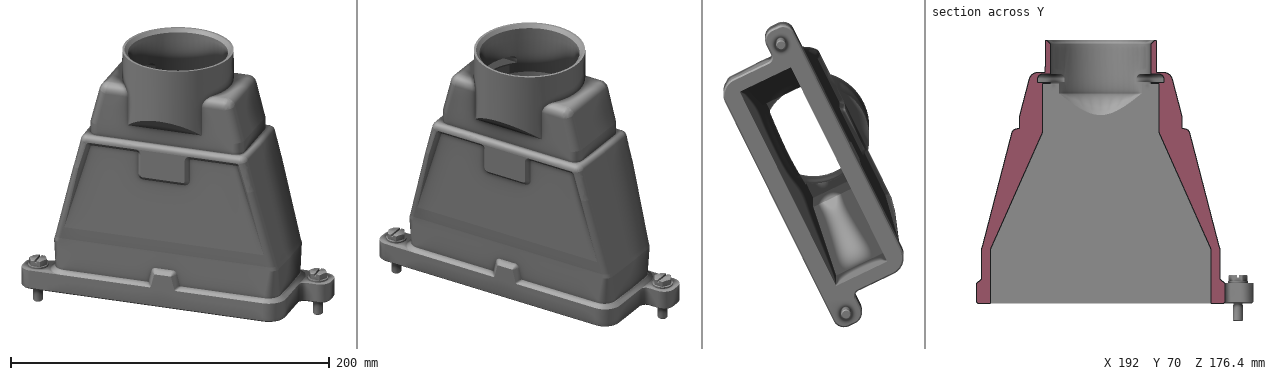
import cadquery as cq

FLANGE_LENGTH = 156.3
FLANGE_WIDTH = 58.4
FLANGE_EDGE_HEIGHT = 12.9
FLANGE_SLOPE_HEIGHT = 2.3
FLANGE_LEDGE = 0.2
FLANGE_CORNER_RADIUS = 11.3
FLANGE_BOTTOM_CHAMFER = 1.0

EAR_TIP_X = 96.0
EAR_WIDTH = 19.0
EAR_CORNER_RADIUS = 7.3
EAR_ROOT_RADIUS = 3.6
SCREW_X = 86.4
SCREW_Y = 19.4
SCREW_POINTS = [(-SCREW_X, -SCREW_Y), (SCREW_X, SCREW_Y)]

LOWER_LENGTH = 150.1
LOWER_WIDTH = 52.2
LOWER_TOP_Z = 34.2
LOWER_BOTTOM_RADIUS = 8.5
HOOD_EDGE_RADIUS = 4.5

HOOD_KINK_Z = 36.7
HOOD_KINK_X = 74.3
HOOD_TOP_Z = 110.0
HOOD_TOP_X = 55.3
HOOD_SHOULDER_Z = 87.5
HOOD_TOP_RADIUS = 3.8
END_CREASE_SLOPE = 0.02

BOX_WIDTH = 49.7
BOX_BASE_X = 51.0
BOX_KINK_Z = 118.0
BOX_TOP_Z = 145.3
BOX_TOP_X = 44.0
BOX_EDGE_RADIUS = 5.8
BOX_TOP_RADIUS = 6.0

COLLAR_DIAMETER = 70.0
COLLAR_TOP_Z = 165.3
COLLAR_CUT_Z = 130.2
BORE_DIAMETER = 63.0
BORE_MOUTH_CHAMFER = 2.1
BORE_BOTTOM_Z = 132.0

CAVITY_WIDTH = 35.7
CAVITY_BASE_X = 69.1
CAVITY_TOP_X = 36.3
CAVITY_TAPER_TOP_Z = 108.0
CAVITY_TOP_Z = 138.0
POCKET_FLOOR_Z = 139.0
POCKET_TOP_Z = 144.0
POCKET_LENGTH = 79.1
POCKET_WIDTH = 43.8
POCKET_ROOF_RADIUS = 2.9

WALL_TAPER = 45
PANEL_BOTTOM_Z = 44.7
PANEL_TOP_Z = 103.5
PANEL_BOTTOM_X = 66.5
PANEL_TOP_X = 48.5
PANEL_CLEARANCE = 0.4
TAB_FLOOR_WIDTH = 34.5
TAB_BOTTOM_Z = 85.0
TAB_CORNER_RADIUS = 3.8
TAB_JOINT_RADIUS = 0.8

STOP_TOP_Z = 22.3
STOP_TOP_X = 5.5
STOP_BOTTOM_Z = 8.0
STOP_BOTTOM_X = 9.2
STOP_ROOT_RADIUS = 1.5

WASHER_DIAMETER = 12.9
WASHER_THICKNESS = 1.2
HEX_ACROSS_CORNERS = 12.0
HEX_HEIGHT = 3.8
HEX_CHAMFER_HEIGHT = 0.4
HEX_CHAMFER_RUN = 1.0
SLOT_WIDTH = 1.3
SLOT_DEPTH = 1.5
SHANK_DIAMETER = 6.0
THREAD_DIAMETER = 6.1
THREAD_TOP_Z = -1.0
SCREW_BOTTOM_Z = -11.1
TIP_CHAMFER = 0.5

PICK = 0.8


def front_prism(points, width):
    """Prism along Y, centred on y = 0, from an outline of (x, z) points."""
    return cq.Workplane("XZ").polyline(points).close().extrude(width / 2, both=True)


def mirrored(points):
    """Closes a right-hand half outline with its mirror image."""
    return points + [(-across, up) for across, up in reversed(points)]


def on_both_long_sides(shape):
    """The shape on the -Y side together with its half-turn copy on the +Y side."""
    return [shape, shape.rotate((0, 0, 0), (0, 0, 1), 180)]


def make_flange():
    plate = cq.Workplane("XY").rect(FLANGE_LENGTH, FLANGE_WIDTH)
    plate = plate.extrude(FLANGE_EDGE_HEIGHT + FLANGE_SLOPE_HEIGHT)
    plate = plate.edges("|Z").fillet(FLANGE_CORNER_RADIUS)
    slope_run = (FLANGE_WIDTH - LOWER_WIDTH) / 2 - FLANGE_LEDGE
    return plate.faces(">Z").edges().chamfer(FLANGE_SLOPE_HEIGHT, slope_run)


def make_base():
    """Flange and both ears, with one chamfer around the whole underside."""
    base = make_flange()
    ear_length = EAR_TIP_X - FLANGE_LENGTH / 2 + FLANGE_CORNER_RADIUS
    ear = (
        cq.Workplane("XY")
        .box(ear_length, EAR_WIDTH, FLANGE_EDGE_HEIGHT, centered=(True, True, False))
        .edges("|Z and <X")
        .fillet(EAR_CORNER_RADIUS)
        .translate((ear_length / 2 - EAR_TIP_X, (EAR_WIDTH - FLANGE_WIDTH) / 2, 0))
    )
    for copy in on_both_long_sides(ear):
        base = base.union(copy)
    root_x = FLANGE_LENGTH / 2
    root_y = FLANGE_WIDTH / 2 - EAR_WIDTH
    for side in (-1, 1):
        near_root = cq.selectors.BoxSelector(
            (side * root_x - PICK, side * root_y - PICK, 0),
            (side * root_x + PICK, side * root_y + PICK, FLANGE_EDGE_HEIGHT),
        )
        base = base.edges("|Z").edges(near_root).fillet(EAR_ROOT_RADIUS)
    return base.faces("<Z").edges().chamfer(FLANGE_BOTTOM_CHAMFER)


def rounded_section(z, half_length, half_width, radius):
    """Rounded rectangle at height z, its ends slightly pointed along the middle."""
    corner_x = half_length - END_CREASE_SLOPE * half_width
    points = [
        (half_length, 0),
        (corner_x, half_width),
        (-corner_x, half_width),
        (-half_length, 0),
        (-corner_x, -half_width),
        (corner_x, -half_width),
        (half_length, 0),
    ]
    outline = cq.Sketch().polygon(points).vertices(">Y or <Y").fillet(radius)
    return outline.reset().moved(cq.Location(cq.Vector(0, 0, z)))


def make_hood():
    """Ends lean inward above the kink, long faces lean outward up to the shoulder."""
    lean = (HOOD_KINK_X - HOOD_TOP_X) / (HOOD_TOP_Z - HOOD_KINK_Z)
    shoulder_x = HOOD_TOP_X + lean * (HOOD_TOP_Z - HOOD_SHOULDER_Z)
    lower_x = LOWER_LENGTH / 2
    lower_y = LOWER_WIDTH / 2
    shoulder_y = FLANGE_WIDTH / 2
    sections = [
        rounded_section(FLANGE_EDGE_HEIGHT, lower_x, lower_y, LOWER_BOTTOM_RADIUS),
        rounded_section(LOWER_TOP_Z, lower_x, lower_y, HOOD_EDGE_RADIUS),
        rounded_section(HOOD_KINK_Z, HOOD_KINK_X, lower_y, HOOD_EDGE_RADIUS),
        rounded_section(HOOD_SHOULDER_Z, shoulder_x, shoulder_y, HOOD_EDGE_RADIUS),
        rounded_section(HOOD_TOP_Z, HOOD_TOP_X, shoulder_y, HOOD_EDGE_RADIUS),
    ]
    hood = cq.Workplane("XY").placeSketch(*sections).loft(ruled=True)
    return hood.faces(">Z").edges().fillet(HOOD_TOP_RADIUS)


def make_upper_box():
    outline = mirrored([
        (BOX_BASE_X, HOOD_SHOULDER_Z),
        (BOX_BASE_X, BOX_KINK_Z),
        (BOX_TOP_X, BOX_TOP_Z),
    ])
    box = front_prism(outline, BOX_WIDTH)
    box = box.edges("not #Z").fillet(BOX_EDGE_RADIUS)
    return box.faces(">Z").edges().fillet(BOX_TOP_RADIUS)


def make_collar():
    radius = COLLAR_DIAMETER / 2
    inner_y = CAVITY_WIDTH / 2
    side = mirrored([
        (inner_y, COLLAR_CUT_Z - (radius - inner_y)),
        (radius, COLLAR_CUT_Z),
        (radius, COLLAR_TOP_Z),
    ])
    keep = cq.Workplane("YZ").polyline(side).close().extrude(radius, both=True)
    return cq.Workplane("XY").circle(radius).extrude(COLLAR_TOP_Z).intersect(keep)


def make_bore():
    """Bore with a chamfered mouth, ending in a 45 degree cone."""
    radius = BORE_DIAMETER / 2
    profile = [
        (0, BORE_BOTTOM_Z - radius),
        (radius, BORE_BOTTOM_Z),
        (radius, COLLAR_TOP_Z - BORE_MOUTH_CHAMFER),
        (radius + BORE_MOUTH_CHAMFER, COLLAR_TOP_Z),
        (0, COLLAR_TOP_Z),
    ]
    return cq.Workplane("XZ").polyline(profile).close().revolve(360, (0, 0, 0), (0, 1, 0))


def make_cavity():
    outline = mirrored([
        (CAVITY_BASE_X, 0),
        (CAVITY_BASE_X, LOWER_TOP_Z),
        (CAVITY_TOP_X, CAVITY_TAPER_TOP_Z),
        (CAVITY_TOP_X, CAVITY_TOP_Z),
    ])
    return front_prism(outline, CAVITY_WIDTH)


def make_pocket():
    """Shallow chamber that opens into the bore on both sides, under the box roof."""
    return (
        cq.Workplane("XY")
        .workplane(offset=POCKET_FLOOR_Z)
        .rect(POCKET_LENGTH, POCKET_WIDTH)
        .extrude(POCKET_TOP_Z - POCKET_FLOOR_Z)
        .edges(">Z")
        .fillet(POCKET_ROOF_RADIUS)
    )


def make_panel_cut():
    """Sunk panel of the -Y face: widens outward, and leaves the tab standing."""
    outward_lean = (FLANGE_WIDTH - LOWER_WIDTH) / 2 / (HOOD_SHOULDER_Z - HOOD_KINK_Z)
    floor_y = LOWER_WIDTH / 2 + outward_lean * (PANEL_BOTTOM_Z - HOOD_KINK_Z)
    depth = FLANGE_WIDTH / 2 - floor_y + PANEL_CLEARANCE
    floor = cq.Workplane("XZ").workplane(offset=floor_y)
    tab_x = TAB_FLOOR_WIDTH / 2
    points = mirrored([
        (tab_x, TAB_BOTTOM_Z),
        (tab_x, PANEL_TOP_Z),
        (PANEL_TOP_X, PANEL_TOP_Z),
        (PANEL_BOTTOM_X, PANEL_BOTTOM_Z),
    ])
    reach = tab_x + TAB_CORNER_RADIUS
    tab_corners = cq.selectors.BoxSelector(
        (-reach, TAB_BOTTOM_Z - PICK, -PICK), (reach, TAB_BOTTOM_Z + PICK, PICK)
    )
    joint_corners = cq.selectors.BoxSelector(
        (-reach, PANEL_TOP_Z - PICK, -PICK), (reach, PANEL_TOP_Z + PICK, PICK)
    )
    outline = cq.Sketch().polygon([*points, points[0]])
    outline = outline.vertices(tab_corners).fillet(TAB_CORNER_RADIUS).reset()
    outline = outline.vertices(joint_corners).fillet(TAB_JOINT_RADIUS).reset()
    return floor.placeSketch(outline).extrude(depth, taper=-WALL_TAPER)


def make_stop():
    """Trapezoid on the -Y edge of the flange, spreading at 45 degrees towards the body."""
    outline = mirrored([(STOP_BOTTOM_X, STOP_BOTTOM_Z), (STOP_TOP_X, STOP_TOP_Z)])
    depth = (FLANGE_WIDTH - LOWER_WIDTH) / 2
    return (
        cq.Workplane("XZ")
        .workplane(offset=FLANGE_WIDTH / 2)
        .polyline(outline)
        .close()
        .extrude(-depth, taper=-WALL_TAPER)
    )


def round_stop_roots(housing):
    """Rounds the inside corners between the stop flanks and the sloped flange edge."""
    root_z = FLANGE_EDGE_HEIGHT + FLANGE_SLOPE_HEIGHT / 2
    edge_y = (FLANGE_WIDTH + LOWER_WIDTH) / 4
    for side_x in (-1, 1):
        for side_y in (-1, 1):
            root = cq.selectors.BoxSelector(
                (side_x * STOP_TOP_X, side_y * (edge_y - PICK), root_z - PICK),
                (side_x * FLANGE_LENGTH / 4, side_y * (edge_y + PICK), root_z + PICK),
            )
            housing = housing.edges(root).fillet(STOP_ROOT_RADIUS)
    return housing


def make_housing():
    housing = make_base().union(make_hood())
    for stop in on_both_long_sides(make_stop()):
        housing = housing.union(stop)
    housing = round_stop_roots(housing)
    for panel in on_both_long_sides(make_panel_cut()):
        housing = housing.cut(panel)
    housing = housing.union(make_upper_box()).union(make_collar())
    housing = housing.cut(make_bore()).cut(make_cavity()).cut(make_pocket())
    holes = cq.Workplane("XY").pushPoints(SCREW_POINTS).circle(SHANK_DIAMETER / 2)
    return housing.cut(holes.extrude(FLANGE_EDGE_HEIGHT))


def make_screw(x, y):
    seat = cq.Workplane("XY").workplane(offset=FLANGE_EDGE_HEIGHT)
    washer = seat.circle(WASHER_DIAMETER / 2).extrude(WASHER_THICKNESS)
    head_height = WASHER_THICKNESS + HEX_HEIGHT
    head = seat.polygon(6, HEX_ACROSS_CORNERS).extrude(head_height)
    rounding = seat.circle(HEX_ACROSS_CORNERS / 2).extrude(head_height)
    rounding = rounding.faces(">Z").chamfer(HEX_CHAMFER_HEIGHT, HEX_CHAMFER_RUN)
    head = head.intersect(rounding)
    slot = (
        seat.workplane(offset=head_height - SLOT_DEPTH)
        .rect(SLOT_WIDTH, WASHER_DIAMETER)
        .extrude(SLOT_DEPTH)
    )
    shank = seat.circle(SHANK_DIAMETER / 2).extrude(THREAD_TOP_Z - FLANGE_EDGE_HEIGHT)
    thread = (
        cq.Workplane("XY")
        .workplane(offset=SCREW_BOTTOM_Z)
        .circle(THREAD_DIAMETER / 2)
        .extrude(THREAD_TOP_Z - SCREW_BOTTOM_Z)
        .faces("<Z")
        .chamfer(TIP_CHAMFER)
    )
    screw = washer.union(head).cut(slot).union(shank).union(thread)
    return screw.translate((x, y, 0))


housing = make_housing()
screws = [make_screw(x, y) for x, y in SCREW_POINTS]
result = cq.Compound.makeCompound([housing.solids().val(), *[screw.solids().val() for screw in screws]])